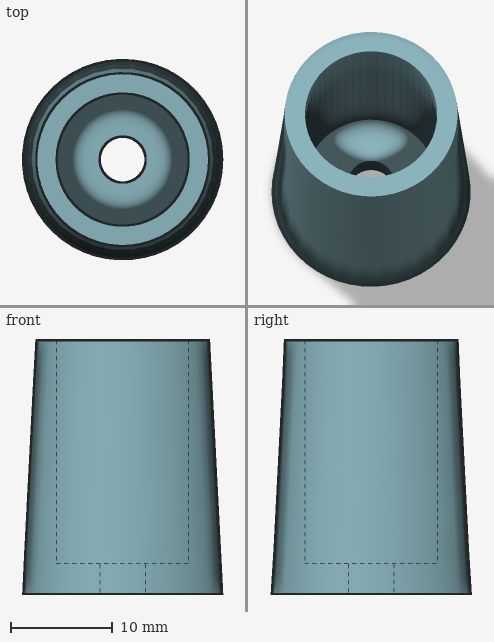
import cadquery as cq

height = 25.0
base_diameter = 19.6
top_diameter = 17.0

bore_diameter = 13.0
hole_diameter = 4.5
floor_thickness = 3.0
bore_depth = height - floor_thickness


def tapered_body():
    """Solid truncated cone."""
    return (
        cq.Workplane("XY")
        .circle(base_diameter / 2)
        .workplane(offset=height)
        .circle(top_diameter / 2)
        .loft(ruled=True)
    )


def cut_stepped_passage(body):
    """Cut the blind bore and the coaxial through hole from the top face."""
    return body.faces(">Z").workplane().cboreHole(hole_diameter, bore_diameter, bore_depth)


result = cut_stepped_passage(tapered_body())